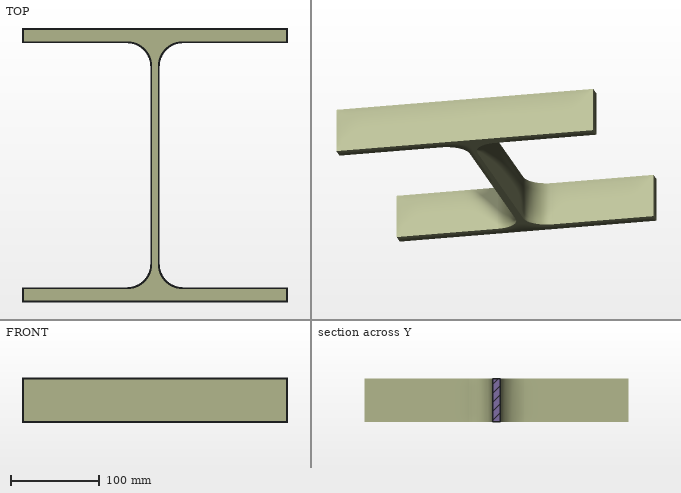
import cadquery as cq

section_depth = 310.0
flange_width = 300.0
flange_thickness = 15.5
web_thickness = 9.0
root_radius = 27.0
length = 50.0

flange_offset = (section_depth - flange_thickness) / 2
web = cq.Workplane("XY").rect(web_thickness, section_depth).extrude(length)
flanges = (
    cq.Workplane("XY")
    .pushPoints([(0, -flange_offset), (0, flange_offset)])
    .rect(flange_width, flange_thickness)
    .extrude(length)
)
section = web.union(flanges)

inner_corners = cq.selectors.BoxSelector(
    (-web_thickness, -flange_offset, 0),
    (web_thickness, flange_offset, length),
)
result = section.edges("|Z").edges(inner_corners).fillet(root_radius)